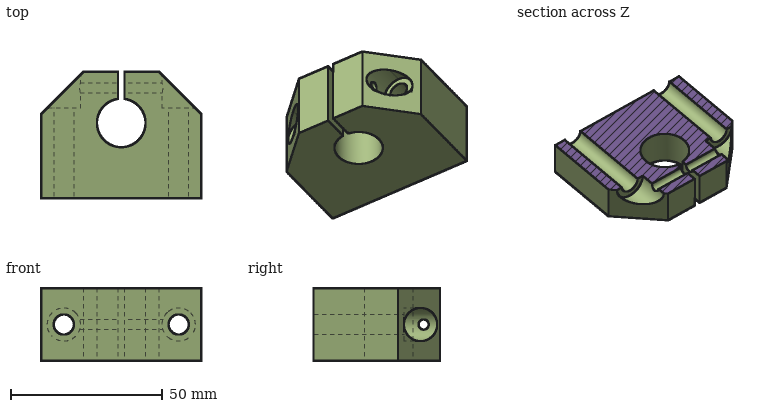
import cadquery as cq

length = 53.0
depth = 42.0
height = 24.0
corner_cut = 14.0
mid_x = length / 2
mid_z = height / 2

bore_diameter = 16.0
bore_y = 25.0
slot_width = 2.0

mount_spacing = 38.0
mount_diameter = 6.6
counterbore_diameter = 11.0
counterbore_floor_y = 30.0

clamp_diameter = 3.3
clamp_y = 36.5


def make_block():
    """Rectangular block with its two rear vertical corners cut at 45 degrees."""
    block = cq.Workplane("XY").box(length, depth, height, centered=False)
    return block.edges("|Z and >Y").chamfer(corner_cut)


def cylinder_along_y(x, diameter, start_y, end_y):
    """Mid-height cylinder parallel to Y, from start_y to end_y."""
    start = cq.Vector(x, start_y, mid_z)
    solid = cq.Solid.makeCylinder(diameter / 2, end_y - start_y, start, cq.Vector(0, 1, 0))
    return cq.Workplane(obj=solid)


def cut_shaft_clamp(body):
    """Vertical shaft bore, split through to the rear face by a narrow slot."""
    bore = cq.Workplane("XY").center(mid_x, bore_y).circle(bore_diameter / 2).extrude(height)
    slot_length = depth - bore_y
    slot = cq.Workplane("XY").center(mid_x, bore_y + slot_length / 2)
    slot = slot.rect(slot_width, slot_length).extrude(height)
    return body.cut(bore).cut(slot)


def cut_mounting_holes(body):
    """Two through holes along Y, counterbored from the rear."""
    for side in (-1, 1):
        x = mid_x + side * mount_spacing / 2
        body = body.cut(cylinder_along_y(x, mount_diameter, 0, depth))
        body = body.cut(cylinder_along_y(x, counterbore_diameter, counterbore_floor_y, depth))
    return body


def cut_clamp_hole(body):
    """Screw hole along X, joining the counterbores and crossing the slot."""
    hole = cq.Workplane("YZ").center(clamp_y, mid_z).circle(clamp_diameter / 2).extrude(length)
    return body.cut(hole)


result = cut_clamp_hole(cut_mounting_holes(cut_shaft_clamp(make_block())))